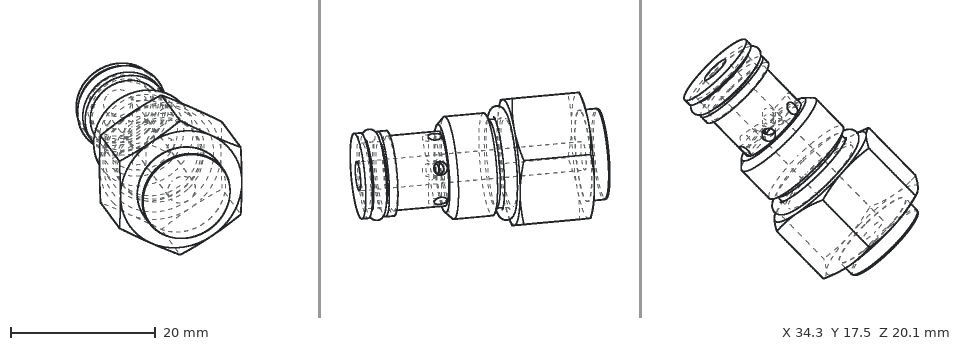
import cadquery as cq
import math


tip_collar_end = 0.92
ring_groove_end = 3.32
rear_collar_end = 4.52
nose_end = 11.78
barrel_end = 18.3
hex_start = 21.15
hex_end = 31.6
plug_start = 31.67
overall_length = 34.25

collar_diameter = 11.88
nose_groove_diameter = 9.1
sleeve_diameter = 10.4
bore_diameter = 4.0
port_diameter = 1.85
port_count = 6
port_x = 10.8

barrel_diameter = 14.28
barrel_front_chamfer = 1.03
barrel_rear_angle = 60.0
neck_diameter = 12.3
hex_across_flats = 17.45
hex_chamfer_angle = 21.0

poppet_diameter = 3.95

plug_diameter = 12.67
plug_chamfer_length = 0.2
plug_chamfer_depth = 0.07

cord_diameter = 1.78
nose_ring_x = (tip_collar_end + ring_groove_end) / 2
neck_ring_x = 20.2


def disc(start, end, diameter):
    """Cylinder along the X axis between two positions."""
    return cq.Workplane("YZ").workplane(offset=start).circle(diameter / 2).extrude(end - start)


def revolved(profile):
    """Solid of revolution about the X axis from (x, radius) points."""
    return cq.Workplane("XY").polyline(profile).close().revolve(360, (0, 0, 0), (1, 0, 0))


def make_nose():
    """Front of the housing: two collars with an O-ring groove between them, then a plain sleeve."""
    return (
        disc(0, tip_collar_end, collar_diameter)
        .union(disc(tip_collar_end, ring_groove_end, nose_groove_diameter))
        .union(disc(ring_groove_end, rear_collar_end, collar_diameter))
        .union(disc(rear_collar_end, nose_end, sleeve_diameter))
    )


def cut_ports(body):
    """Drill the radial ports from the sleeve surface to the axis, evenly spaced from straight up."""
    port = (
        cq.Workplane("XY")
        .center(port_x, 0)
        .circle(port_diameter / 2)
        .extrude(sleeve_diameter)
    )
    for index in range(port_count):
        body = body.cut(port.rotate((0, 0, 0), (1, 0, 0), index * 360 / port_count))
    return body


def make_barrel():
    """Middle of the housing: chamfered barrel and the neck behind it."""
    barrel_radius = barrel_diameter / 2
    neck_radius = neck_diameter / 2
    rear_cone_length = (barrel_radius - neck_radius) / math.tan(math.radians(barrel_rear_angle))
    return revolved([
        (nose_end, 0),
        (nose_end, barrel_radius - barrel_front_chamfer),
        (nose_end + barrel_front_chamfer, barrel_radius),
        (barrel_end, barrel_radius),
        (barrel_end + rear_cone_length, neck_radius),
        (hex_start, neck_radius),
        (hex_start, 0),
    ])


def make_hex():
    """Hexagon with corners up and down, its corners turned off conically at both ends."""
    face_radius = hex_across_flats / 2
    corner_radius = face_radius / math.cos(math.pi / 6)
    chamfer_length = (corner_radius - face_radius) * math.tan(math.radians(hex_chamfer_angle))
    prism = (
        cq.Workplane("YZ")
        .workplane(offset=hex_start)
        .polygon(6, 2 * corner_radius)
        .extrude(hex_end - hex_start)
        .rotate((0, 0, 0), (1, 0, 0), 90)
    )
    turned_envelope = revolved([
        (hex_start, 0),
        (hex_start, face_radius),
        (hex_start + chamfer_length, corner_radius),
        (hex_end - chamfer_length, corner_radius),
        (hex_end, face_radius),
        (hex_end, 0),
    ])
    return prism.intersect(turned_envelope)


def make_housing():
    """Nose, barrel, hexagon and the low rim under the end plug, bored through along the axis."""
    rim = disc(hex_end, plug_start, plug_diameter)
    bore = disc(0, plug_start, bore_diameter)
    outside = cut_ports(make_nose()).union(make_barrel()).union(make_hex()).union(rim)
    return outside.cut(bore).solids()


def make_poppet():
    """Plain cylinder, loose in the bore, from just behind the ports to the end plug."""
    return disc(nose_end, plug_start, poppet_diameter)


def make_end_plug():
    """Plain round plug with a slight taper at its outer end."""
    plug_radius = plug_diameter / 2
    return revolved([
        (plug_start, 0),
        (plug_start, plug_radius),
        (overall_length - plug_chamfer_length, plug_radius),
        (overall_length, plug_radius - plug_chamfer_depth),
        (overall_length, 0),
    ])


def make_o_ring(x, seat_diameter):
    """O-ring whose inside just touches a round seat of the given diameter."""
    ring_radius = (seat_diameter + cord_diameter) / 2
    return cq.Solid.makeTorus(ring_radius, cord_diameter / 2, cq.Vector(x, 0, 0), cq.Vector(1, 0, 0))


housing = make_housing()
poppet = make_poppet()
end_plug = make_end_plug()
o_ring_places = [(nose_ring_x, nose_groove_diameter), (neck_ring_x, neck_diameter)]
o_rings = [make_o_ring(x, seat_diameter) for x, seat_diameter in o_ring_places]

result = cq.Compound.makeCompound([
    housing.val(),
    poppet.val(),
    end_plug.val(),
    *o_rings,
])